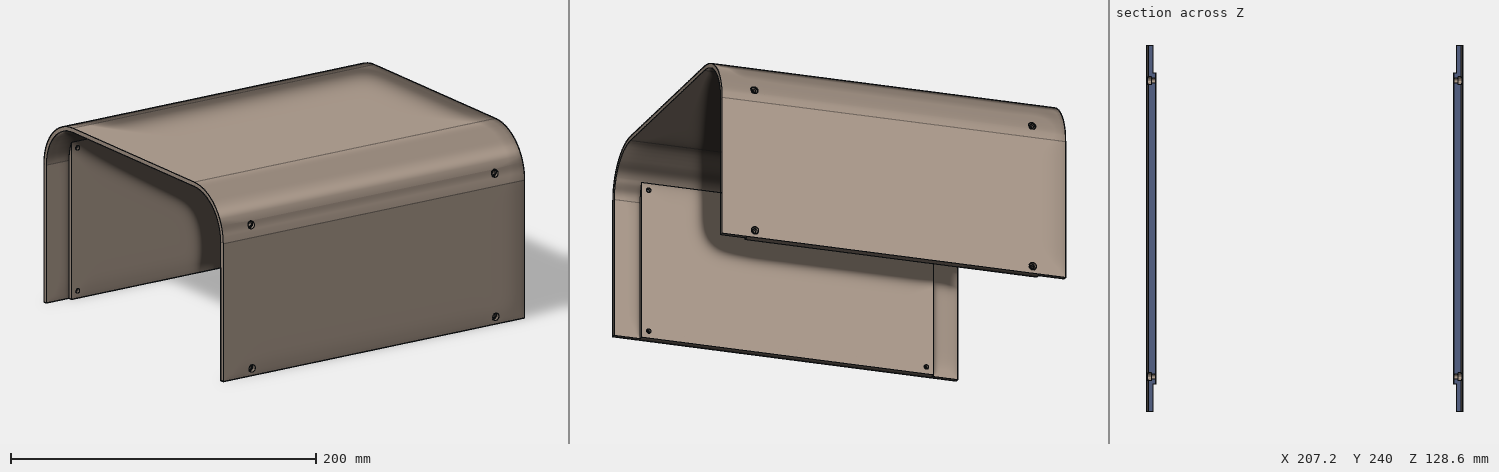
import cadquery as cq

width = 207.2
length = 240.0
height = 128.6
sheet_thickness = 3.0
bend_radius = 33.6

plate_thickness = 3.0
plate_end_setback = 18.0

hole_diameter = 3.0
counterbore_diameter = 5.0
counterbore_depth = sheet_thickness
drill_depth = 2 * (sheet_thickness + plate_thickness)
hole_end_distance = 23.0
lower_hole_z = 5.0
upper_hole_z = 103.5


def arch_solid(offset, y_start, y_end):
    """Solid with the outer arch outline moved inwards by offset, from y_start to y_end."""
    half_width = width / 2 - offset
    top = height - offset
    radius = bend_radius - offset
    block = cq.Workplane("XY").box(2 * half_width, y_end - y_start, top, centered=(True, False, False))
    return block.edges("|Y and >Z").fillet(radius).translate((0, y_start, 0))


def make_shell():
    outer = arch_solid(0, -length / 2, length / 2)
    return outer.cut(arch_solid(sheet_thickness, -length / 2, length / 2))


def make_side_plates():
    """Plates reaching up into the bends, filling the space under the curved sheet."""
    half_plate_length = length / 2 - plate_end_setback
    inner_width = width - 2 * (sheet_thickness + plate_thickness)
    middle = cq.Workplane("XY").box(inner_width, length, height, centered=(True, True, False))
    return arch_solid(sheet_thickness, -half_plate_length, half_plate_length).cut(middle)


def make_screw_hole(side, y, z):
    """Counterbored hole entering one side wall horizontally at (y, z)."""
    start = cq.Vector(side * width / 2, y, z)
    inward = cq.Vector(-side, 0, 0)
    bore = cq.Solid.makeCylinder(hole_diameter / 2, drill_depth, start, inward)
    counterbore = cq.Solid.makeCylinder(counterbore_diameter / 2, counterbore_depth, start, inward)
    return bore.fuse(counterbore)


result = make_shell().union(make_side_plates())
hole_y = length / 2 - hole_end_distance
for side in (-1, 1):
    for y in (-hole_y, hole_y):
        for z in (lower_hole_z, upper_hole_z):
            result = result.cut(cq.Workplane(make_screw_hole(side, y, z)))